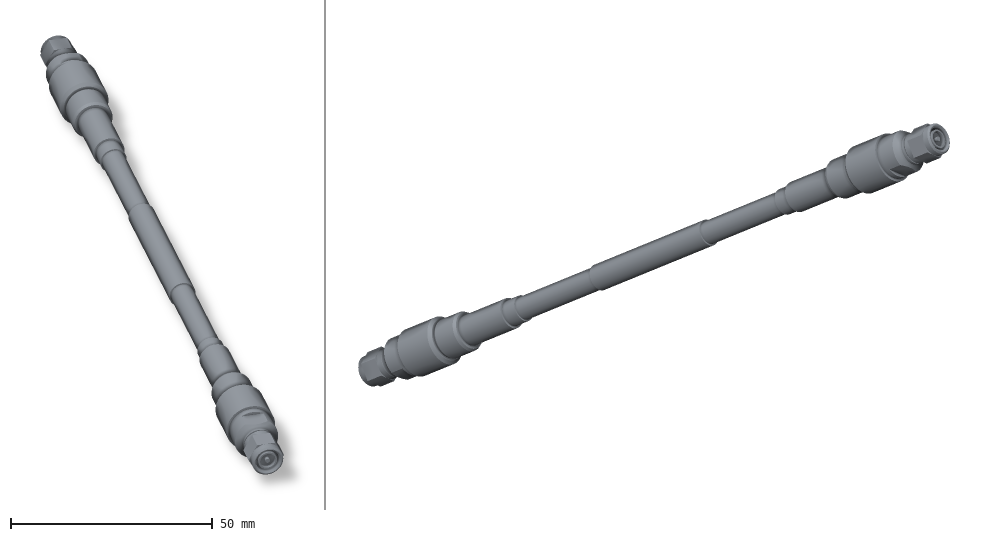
import cadquery as cq
import math

TOTAL_LENGTH = 198.4

CABLE_RADIUS = 3.0
LABEL_RADIUS = 3.4
LABEL_LENGTH = 38.0

NUT_LENGTH = 8.7
NUT_RADIUS = 4.0
NUT_CHAMFER = 0.4
HEX_ACROSS_FLATS = 2 * NUT_RADIUS
HEX_LENGTH = 4.8
NUT_BORE_RADIUS = 3.0
NUT_BORE_DEPTH = 7.0
NUT_BORE_CHAMFER = 0.4

BARREL_RADIUS = 2.4
BARREL_FRONT_X = 0.4
SOCKET_RADIUS = 2.0
SOCKET_DEPTH = 1.0
PIN_RADIUS = 0.5
PIN_LENGTH = 1.0

CONE_X = 9.5
WRENCH_X = 11.0
WRENCH_RADIUS = 5.5
WRENCH_FLATS_END_X = 14.7
WRENCH_ACROSS_FLATS = 9.5
MAIN_X = 16.3
MAIN_DIAMETER = 12.5
MAIN_RADIUS = MAIN_DIAMETER / 2
MAIN_CHAMFER = 0.8
COLLAR_X = 27.4
COLLAR_RADIUS = 5.2
COLLAR_CHAMFER_LENGTH = 0.8
COLLAR_CHAMFER_HEIGHT = 0.4
BOOT_X = 35.1
BOOT_RADIUS = 4.0
TAIL_X = 49.8
TAIL_RADIUS = 3.4
TAIL_END_X = 54.0

HALF_LENGTH = TOTAL_LENGTH / 2


def rod(start_x, end_x, radius):
    """Cylinder on the X axis between two distances from the left end."""
    plane = cq.Workplane("YZ", origin=(start_x - HALF_LENGTH, 0, 0))
    return plane.circle(radius).extrude(end_x - start_x)


def make_cable():
    return rod(BOOT_X, TOTAL_LENGTH - BOOT_X, CABLE_RADIUS)


def make_label():
    start_x = (TOTAL_LENGTH - LABEL_LENGTH) / 2
    end_x = start_x + LABEL_LENGTH
    return rod(start_x, end_x, LABEL_RADIUS).cut(rod(start_x, end_x, CABLE_RADIUS))


def make_nut():
    """Left coupling nut; two hexagon corners point along +Y and -Y."""
    nut = rod(0, NUT_LENGTH, NUT_RADIUS).faces("<X or >X").chamfer(NUT_CHAMFER)
    hex_start_x = (NUT_LENGTH - HEX_LENGTH) / 2
    hex_corner_diameter = HEX_ACROSS_FLATS / math.cos(math.pi / 6)
    hex_plane = cq.Workplane("YZ", origin=(hex_start_x - HALF_LENGTH, 0, 0))
    nut = nut.union(hex_plane.polygon(6, hex_corner_diameter).extrude(HEX_LENGTH))
    nut = nut.cut(rod(0, NUT_BORE_DEPTH, NUT_BORE_RADIUS))
    nut = nut.faces("<X").edges(cq.selectors.RadiusNthSelector(0)).chamfer(NUT_BORE_CHAMFER)
    return nut.cut(rod(NUT_BORE_DEPTH, NUT_LENGTH, BARREL_RADIUS))


def make_connector_profile():
    """Half section of the connector from its barrel face to its tail end."""
    points = [
        (BARREL_FRONT_X, 0),
        (BARREL_FRONT_X, BARREL_RADIUS),
        (NUT_LENGTH, BARREL_RADIUS),
        (NUT_LENGTH, NUT_RADIUS),
        (CONE_X, NUT_RADIUS),
        (WRENCH_X, WRENCH_RADIUS),
        (MAIN_X, WRENCH_RADIUS),
        (MAIN_X, MAIN_RADIUS),
        (COLLAR_X - MAIN_CHAMFER, MAIN_RADIUS),
        (COLLAR_X, MAIN_RADIUS - MAIN_CHAMFER),
        (COLLAR_X, COLLAR_RADIUS - COLLAR_CHAMFER_HEIGHT),
        (COLLAR_X + COLLAR_CHAMFER_LENGTH, COLLAR_RADIUS),
        (BOOT_X - COLLAR_CHAMFER_LENGTH, COLLAR_RADIUS),
        (BOOT_X, COLLAR_RADIUS - COLLAR_CHAMFER_HEIGHT),
        (BOOT_X, BOOT_RADIUS),
        (TAIL_X, BOOT_RADIUS),
        (TAIL_X, TAIL_RADIUS),
        (TAIL_END_X, TAIL_RADIUS),
        (TAIL_END_X, 0),
    ]
    return cq.Workplane("XZ", origin=(-HALF_LENGTH, 0, 0)).polyline(points).close()


def cut_wrench_flats(connector):
    """Mill flats facing +Z and -Z into the front of the wrench section."""
    flats_length = WRENCH_FLATS_END_X - CONE_X
    cutter_height = WRENCH_RADIUS
    for side in (1, -1):
        center = (
            CONE_X + flats_length / 2 - HALF_LENGTH,
            0,
            side * (WRENCH_ACROSS_FLATS + cutter_height) / 2,
        )
        cutter = cq.Workplane("XY", origin=center)
        connector = connector.cut(cutter.box(flats_length, 2 * WRENCH_RADIUS, cutter_height))
    return connector


def make_connector():
    """Left connector body with its socket, center pin and cable hole."""
    connector = make_connector_profile().revolve(360, (0, 0, 0), (1, 0, 0))
    connector = cut_wrench_flats(connector)
    socket_floor_x = BARREL_FRONT_X + SOCKET_DEPTH
    connector = connector.cut(rod(BARREL_FRONT_X, socket_floor_x, SOCKET_RADIUS))
    connector = connector.union(rod(socket_floor_x - PIN_LENGTH, socket_floor_x, PIN_RADIUS))
    return connector.cut(rod(BOOT_X, TAIL_END_X, CABLE_RADIUS))


def make_both_ends(left_body):
    """The left-end solid and its mirror image at the right end."""
    left_solid = left_body.solids().val()
    return [left_solid, left_solid.mirror("YZ")]


cable = make_cable()
label = make_label()
nuts = make_both_ends(make_nut())
connectors = make_both_ends(make_connector())

result = cq.Compound.makeCompound([cable.val(), label.solids().val(), *nuts, *connectors])